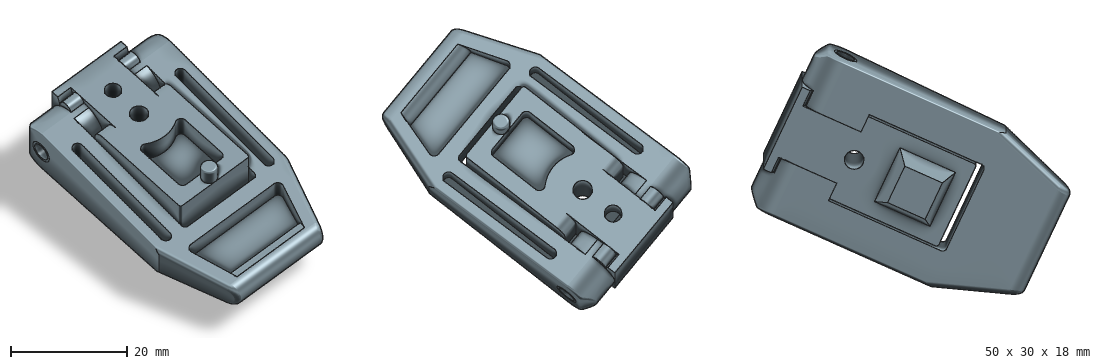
import cadquery as cq
import math


hinge_x = 5.0
hinge_z = 5.0
sleeve_outer_diameter = 4.2
sleeve_bore_diameter = 3.3

lever_length = 50.0
lever_width = 30.0
hub_radius = hinge_z
tip_radius = 2.5
tip_x = lever_length - tip_radius
wedge_rear_x = -1.0
outline_end_x = lever_length + tip_radius
rear_corner_chamfer = 2.0
taper_start_x = 35.3
taper_slope = 0.346
rear_corner_round = 1.0
side_edge_round = 0.5
taper_edge_round = 1.0

opening_half_width = 8.4
opening_end_x = 34.5
opening_corner_radius = 0.75
recess_floor_z = 2.5
slot_start_x = 10.0
slot_end_x = 34.5
slot_width = 2.0
slot_center_y = 11.9
recess_start_x = 37.5
recess_end_x = 47.3
recess_end_half_width = 7.8
recess_slope = 0.325
recess_corner_radius = 1.0

lobe_radius = 1.45
foot_start_x = hinge_x
foot_flat_end_x = 11.0
foot_radius = 1.5

block_length = 33.0
block_width = 16.0
block_height = 11.0
block_corner_radius = 0.5
neck_width = 10.0
notch_start_x = 1.5
notch_bevel_width = 0.5
notch_bevel_height = 1.5
notch_end_x = foot_flat_end_x
notch_round = 2.0

blind_hole_x = 6.8
blind_hole_diameter = 3.0
through_hole_x = 13.5
through_hole_diameter = 3.3
pocket_floor_z = 6.5
pocket_end_x = 30.1
pocket_width = 10.0
pocket_arc_radius = 6.5
pocket_corner_radius = 1.0
pin_diameter = 3.0
pin_height = 3.0
pin_edge_round = 0.5
pin_x = block_length - pin_diameter / 2

stud_x = lever_length / 2
stud_height = 4.0
stud_top_width = 10.5
stud_bottom_width = 7.1

block_half_width = block_width / 2
neck_half_width = neck_width / 2
lever_half_width = lever_width / 2

cut_start = -1.0


def box(x_min, x_max, y_min, y_max, z_min, z_max):
    """Box given by its limits along the three axes."""
    size = (x_max - x_min, y_max - y_min, z_max - z_min)
    return cq.Workplane().box(*size, centered=False).translate((x_min, y_min, z_min))


def hinge_cylinder(radius, half_length):
    """Cylinder on the hinge axis, centred on Y = 0."""
    return (
        cq.Workplane("XZ")
        .center(hinge_x, hinge_z)
        .circle(radius)
        .extrude(half_length, both=True)
    )


def side_prism(profile, y_min, y_max):
    """Extrude an XZ profile between two Y positions."""
    return profile.extrude(y_min - y_max).translate((0, y_min, 0))


def on_both_sides(solid):
    """A solid joined with its mirror image across Y = 0."""
    return solid.union(solid.mirror("XZ"))


def symmetric_prism(right_side, height):
    """Vertical prism whose outline is a right-hand path closed by its mirror image."""
    left_side = [(x, -y) for x, y in reversed(right_side)]
    return cq.Workplane().polyline(right_side + left_side).close().extrude(height)


def rounded_wedge(half_width_at_hinge, slope, edge_round):
    """Sloping lever body with a round tip, its two sides straight or converging, with rounded side edges."""
    top_run = tip_x - hinge_x
    top_drop = 2 * hub_radius - tip_radius
    tangent_angle = math.atan2(top_drop, -top_run) - math.acos(tip_radius / math.hypot(top_run, top_drop))
    tangent_x = tip_x + tip_radius * math.cos(tangent_angle)
    tangent_z = tip_radius + tip_radius * math.sin(tangent_angle)
    top_slope = (2 * hub_radius - tangent_z) / (tangent_x - hinge_x)
    rear_top_z = tangent_z + top_slope * (tangent_x - wedge_rear_x)
    profile = (
        cq.Workplane("XZ")
        .moveTo(wedge_rear_x, 0)
        .lineTo(tip_x, 0)
        .threePointArc((lever_length, tip_radius), (tangent_x, tangent_z))
        .lineTo(wedge_rear_x, rear_top_z)
        .close()
    )
    rear_half_width = half_width_at_hinge + slope * (hinge_x - wedge_rear_x)
    front_half_width = half_width_at_hinge + slope * (hinge_x - outline_end_x)
    outline = symmetric_prism([(wedge_rear_x, -rear_half_width), (outline_end_x, -front_half_width)], rear_top_z)
    wedge = side_prism(profile, -rear_half_width, rear_half_width)
    wedge = wedge.intersect(outline)
    return wedge.faces("<Y or >Y").edges("not |Z").fillet(edge_round)


def rounded_hub():
    """Round rear end of the lever with chamfered corners, continued forward at full height."""
    profile = (
        cq.Workplane("XZ")
        .moveTo(hinge_x, 0)
        .lineTo(outline_end_x, 0)
        .lineTo(outline_end_x, 2 * hub_radius)
        .lineTo(hinge_x, 2 * hub_radius)
        .threePointArc((hinge_x - hub_radius, hinge_z), (hinge_x, 0))
        .close()
    )
    chamfer_end_y = lever_half_width - rear_corner_chamfer
    outline = symmetric_prism(
        [
            (0, -chamfer_end_y),
            (rear_corner_chamfer, -lever_half_width),
            (outline_end_x, -lever_half_width),
        ],
        2 * hub_radius,
    )
    hub = side_prism(profile, -lever_half_width, lever_half_width).intersect(outline)
    hub = hub.edges("|Z and (not >X)").fillet(rear_corner_round)
    return hub.faces("<Y or >Y").edges("not |Z").fillet(side_edge_round)


def lever_blank():
    """Outer shape of the lever: hub, straight sides and tapered sides, each with its own edge rounding."""
    straight_wedge = rounded_wedge(lever_half_width, 0, side_edge_round)
    taper_half_width = lever_half_width + taper_slope * (taper_start_x - hinge_x)
    tapered_wedge = rounded_wedge(taper_half_width, taper_slope, taper_edge_round)
    return rounded_hub().intersect(straight_wedge).intersect(tapered_wedge)


def lever_opening():
    """Space for the block between the arms, bounded at the rear by the round hub and its foot."""
    top_slope_angle = math.atan2(2 * hub_radius - 2 * tip_radius, tip_x - hinge_x)
    hub_top_x = hinge_x + hub_radius * math.sin(2 * top_slope_angle)
    hub_top_z = hinge_z + hub_radius * math.cos(2 * top_slope_angle)
    hub_foot_x = hinge_x + math.sqrt(hub_radius**2 - (hinge_z - foot_radius) ** 2)
    arc_offset = foot_radius * math.sqrt(0.5)
    profile = (
        cq.Workplane("XZ")
        .moveTo(foot_flat_end_x + foot_radius, 0)
        .threePointArc(
            (foot_flat_end_x + arc_offset, arc_offset),
            (foot_flat_end_x, foot_radius),
        )
        .lineTo(hub_foot_x, foot_radius)
        .threePointArc((hinge_x + hub_radius, hinge_z), (hub_top_x, hub_top_z))
        .lineTo(hub_top_x, block_height)
        .lineTo(opening_end_x, block_height)
        .lineTo(opening_end_x, 0)
        .close()
    )
    opening = side_prism(profile, -opening_half_width, opening_half_width)
    return opening.edges("|Z and >X").fillet(opening_corner_radius)


def lever_slot():
    """Long blind slot in the top of one arm."""
    return (
        cq.Workplane(origin=(0, 0, recess_floor_z))
        .center((slot_start_x + slot_end_x) / 2, slot_center_y)
        .slot2D(slot_end_x - slot_start_x, slot_width)
        .extrude(block_height)
    )


def finger_recess():
    """Tapered recess near the tip that leaves the round tip bar standing."""
    start_half_width = recess_end_half_width + recess_slope * (recess_end_x - recess_start_x)
    recess = (
        cq.Workplane(origin=(0, 0, recess_floor_z))
        .moveTo(recess_start_x, -start_half_width)
        .lineTo(recess_end_x, -recess_end_half_width)
        .lineTo(recess_end_x, recess_end_half_width)
        .lineTo(recess_start_x, start_half_width)
        .close()
        .extrude(block_height)
        .edges("|Z and <X")
        .fillet(recess_corner_radius)
    )
    tip_bar = (
        cq.Workplane("XZ")
        .center(tip_x, tip_radius)
        .circle(tip_radius)
        .extrude(lever_half_width, both=True)
    )
    return recess.cut(tip_bar)


def cam_lobe():
    """Round-topped ridge on the hub, level with the top of the block."""
    lobe_top_center_z = block_height - lobe_radius
    profile = (
        cq.Workplane("XZ")
        .moveTo(hinge_x, hinge_z)
        .lineTo(hinge_x, lobe_top_center_z)
        .threePointArc(
            (hinge_x - lobe_radius, block_height),
            (hinge_x - 2 * lobe_radius, lobe_top_center_z),
        )
        .lineTo(hinge_x - 2 * lobe_radius, hinge_z)
        .close()
    )
    return side_prism(profile, neck_half_width, block_half_width)


def hub_foot(y_min, y_max):
    """Low foot along the underside of the hub, ending in a quarter round."""
    arc_offset = foot_radius * math.sqrt(0.5)
    profile = (
        cq.Workplane("XZ")
        .moveTo(foot_start_x, 0)
        .lineTo(foot_flat_end_x + foot_radius, 0)
        .threePointArc(
            (foot_flat_end_x + arc_offset, arc_offset),
            (foot_flat_end_x, foot_radius),
        )
        .lineTo(foot_start_x, foot_radius)
        .close()
    )
    return side_prism(profile, y_min, y_max)


def center_clearance(end_x, half_width):
    """Full-height cut from behind the lever up to a given X."""
    return box(cut_start, end_x, -half_width, half_width, cut_start, block_height)


def build_lever():
    hub_rear_x = hinge_x - 2 * lobe_radius
    lever = lever_blank()
    lever = lever.cut(lever_opening())
    lever = lever.cut(center_clearance(opening_end_x, neck_half_width))
    lever = lever.cut(center_clearance(hub_rear_x, block_half_width))
    lever = lever.union(on_both_sides(cam_lobe()))
    lever = lever.cut(on_both_sides(lever_slot()))
    lever = lever.cut(finger_recess())
    return lever.cut(hinge_cylinder(sleeve_outer_diameter / 2, lever_width))


def side_notch():
    """Notch beside the neck that clears the lever hub."""
    bevel_end_x = notch_start_x + notch_bevel_width
    round_end_x = notch_end_x + notch_round
    round_offset = notch_round * (1 - math.sqrt(0.5))
    profile = (
        cq.Workplane("XZ")
        .moveTo(notch_start_x, 0)
        .lineTo(notch_end_x, 0)
        .lineTo(notch_end_x, block_height - notch_round)
        .threePointArc(
            (notch_end_x + round_offset, block_height - round_offset),
            (round_end_x, block_height),
        )
        .lineTo(notch_start_x, block_height)
        .lineTo(bevel_end_x, block_height - notch_bevel_height)
        .lineTo(bevel_end_x, notch_bevel_height)
        .close()
    )
    notch = side_prism(profile, neck_half_width, block_half_width)
    return notch.union(hub_foot(neck_half_width, block_half_width))


def top_pocket():
    """Rectangular pocket whose rear wall bulges in concentric with the through hole."""
    half_width = pocket_width / 2
    pocket = box(through_hole_x, pocket_end_x, -half_width, half_width, pocket_floor_z, block_height)
    bulge = (
        cq.Workplane()
        .center(through_hole_x, 0)
        .circle(pocket_arc_radius)
        .extrude(block_height)
    )
    return pocket.cut(bulge).edges("|Z").fillet(pocket_corner_radius)


def locating_pin():
    """Round-edged pin standing on the top of the block."""
    return (
        cq.Workplane(origin=(pin_x, 0, block_height))
        .circle(pin_diameter / 2)
        .extrude(pin_height)
        .faces(">Z")
        .edges()
        .fillet(pin_edge_round)
    )


def round_hole(x, diameter, bottom_z):
    """Vertical hole on the centre line, open at the top of the block."""
    return (
        cq.Workplane(origin=(x, 0, bottom_z))
        .circle(diameter / 2)
        .extrude(block_height)
    )


def build_block():
    block = box(0, block_length, -block_half_width, block_half_width, 0, block_height)
    block = block.edges("|Z and >X").fillet(block_corner_radius)
    block = block.cut(on_both_sides(side_notch()))
    block = block.cut(round_hole(blind_hole_x, blind_hole_diameter, pocket_floor_z))
    block = block.cut(round_hole(through_hole_x, through_hole_diameter, 0))
    block = block.cut(top_pocket())
    block = block.union(locating_pin())
    return block.cut(hinge_cylinder(sleeve_outer_diameter / 2, lever_width))


def build_sleeve():
    sleeve = hinge_cylinder(sleeve_outer_diameter / 2, lever_half_width)
    return sleeve.cut(hinge_cylinder(sleeve_bore_diameter / 2, lever_half_width))


def build_stud():
    return (
        cq.Workplane(origin=(stud_x, 0, -stud_height))
        .rect(stud_bottom_width, stud_bottom_width)
        .workplane(offset=stud_height)
        .rect(stud_top_width, stud_top_width)
        .loft(ruled=True)
    )


lever = build_lever()
block = build_block()
sleeve = build_sleeve()
stud = build_stud()

result = cq.Compound.makeCompound([lever.val(), block.val(), sleeve.val(), stud.val()])